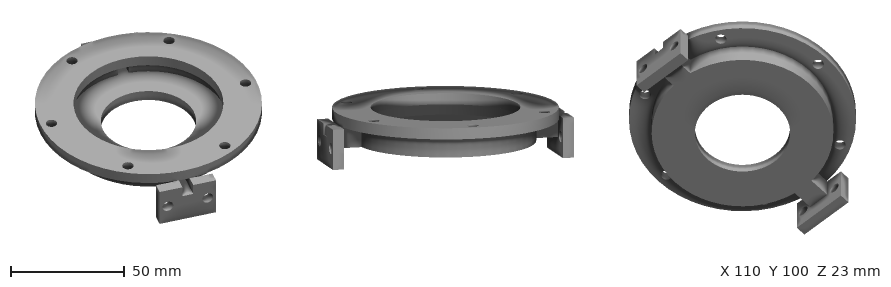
import cadquery as cq

flange_radius = 50.0
flange_thickness = 5.0
housing_radius = 40.0
housing_height = 10.0
floor_thickness = 5.0
bore_radius = 21.0
pocket_radius = 35.0
lip_radius = 33.0

bolt_hole_count = 6
bolt_hole_diameter = 5.0
bolt_circle_radius = 45.0
first_bolt_angle = 90.0

tab_thickness = 5.0
tab_width = 26.2
tab_height = 18.0
tab_hole_diameter = 5.0
tab_hole_spacing = 18.5
web_width = 10.0

slot_width = 5.0
slot_depth = 5.0

tab_center_x = flange_radius + tab_thickness / 2
tab_center_z = housing_height - tab_height / 2
overall_length = 2 * (flange_radius + tab_thickness)


def disc(radius, bottom_z, height):
    """Solid cylinder on the Z axis."""
    return cq.Workplane("XY").workplane(offset=bottom_z).circle(radius).extrude(height)


def make_web():
    """Straight bar through the housing that reaches both tabs."""
    bar = cq.Workplane("XY").box(2 * flange_radius, web_width, housing_height)
    return bar.translate((0, 0, housing_height / 2))


def make_tab(side):
    """Upright plate touching the flange rim, with two holes along X; side is -1 or 1."""
    hole_y = tab_hole_spacing / 2
    plate = cq.Workplane("XY").box(tab_thickness, tab_width, tab_height)
    plate = plate.faces(">X").workplane()
    plate = plate.pushPoints([(-hole_y, 0), (hole_y, 0)]).hole(tab_hole_diameter)
    return plate.translate((side * tab_center_x, 0, tab_center_z))


def make_cavity():
    """Central bore, undercut pocket and the narrower opening above it."""
    bore = disc(bore_radius, 0, floor_thickness)
    pocket = disc(pocket_radius, floor_thickness, housing_height - floor_thickness)
    opening = disc(lip_radius, housing_height, flange_thickness)
    return bore.union(pocket).union(opening)


def make_bolt_holes():
    """Evenly spaced through holes in the flange, one of them on the +Y axis."""
    holes = cq.Workplane("XY").workplane(offset=housing_height)
    holes = holes.polarArray(bolt_circle_radius, first_bolt_angle, 360, bolt_hole_count)
    return holes.circle(bolt_hole_diameter / 2).extrude(flange_thickness)


def make_slot():
    """Square channel through both tabs, their webs and the housing wall."""
    channel = cq.Workplane("XY").box(overall_length, slot_width, slot_depth)
    return channel.translate((0, 0, housing_height - slot_depth / 2))


body = disc(housing_radius, 0, housing_height)
body = body.union(disc(flange_radius, housing_height, flange_thickness))
body = body.union(make_web())
for tab_side in (-1, 1):
    body = body.union(make_tab(tab_side))

result = body.cut(make_cavity()).cut(make_bolt_holes()).cut(make_slot())